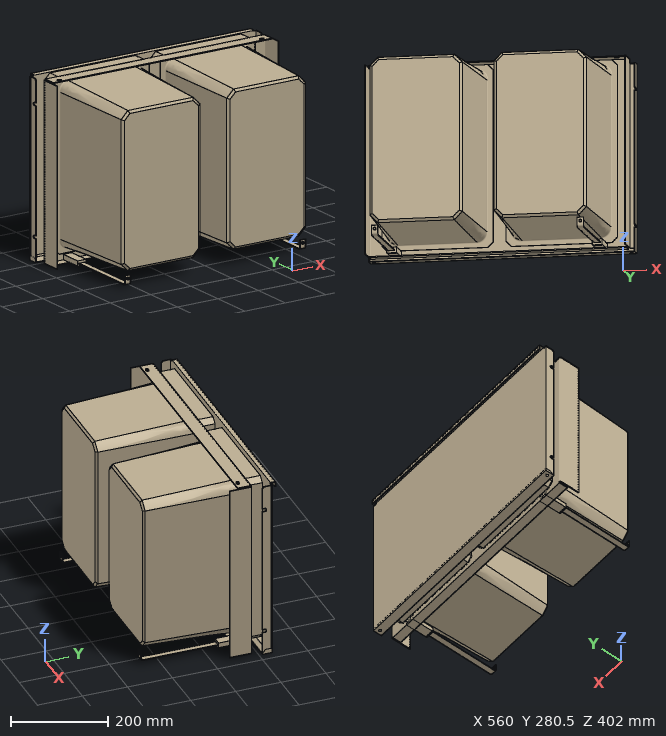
import cadquery as cq
SHEET = 2.0
BEND_RADIUS = 4.0
TIGHT_BEND_RADIUS = 2.0

DOOR_WIDTH = 560.0
DOOR_SIDE_TOP = 397.5
DOOR_TOP = 400.5
DOOR_DEPTH = 22.0
FLANGE_CHAMFER = 3.5
LIP_WIDTH = 543.0
LIP_REACH = 10.5
LIP_DROP = 12.5
RAIL_HEIGHT = 9.5
RAIL_BEVEL = 8.0
RAIL_HOLE_DIAMETER = 5.5
RAIL_HOLE_X = 271.0
RAIL_HOLE_Y = -10.5
NOTCH_WIDTH = 7.0
NOTCH_DEPTH = 9.0
NOTCH_HEIGHTS = (55.0, 342.0)

FRAME_WIDTH = 549.0
FRAME_BOTTOM = 1.0
FRAME_TOP = 402.0
FRAME_BACK = -42.5
FRAME_FACE = FRAME_BACK - SHEET
SIDE_FLANGE_END = -92.5
SIDE_FLANGE_BOTTOM = 4.0
SIDE_FLANGE_TOP = 400.0
TOP_FLANGE_END = -73.5
BOTTOM_FLANGE_END = -65.0
CROSS_FLANGE_WIDTH = FRAME_WIDTH - 2 * BEND_RADIUS
SLOT_LENGTH = 9.5
SLOT_WIDTH = 6.0
SLOT_X = 250.5
SLOT_Y = -65.0

BIN_X = 130.5
BIN_Z = 208.5
RIM_WIDTH = 234.0
RIM_HEIGHT = 383.0
RIM_BACK = -9.5
RIM_CHAMFER = 11.0
BODY_WIDTH = 209.0
BODY_HEIGHT = 360.5
BODY_RADIUS = 21.0
FLOOR_WIDTH = 194.5
FLOOR_HEIGHT = 346.5
FLOOR_CHAMFER = 17.0
BODY_END = -265.5
RIM_FILLET = 3.0
SEAM_ZONE_WIDTH = (RIM_WIDTH + BODY_WIDTH) / 2
SEAM_ZONE_HEIGHT = (RIM_HEIGHT + BODY_HEIGHT) / 2
FLOOR_BEVEL_WIDTH = 5.5
FLOOR_BEVEL_DEPTH = 4.0

RUNNER_X = 216.0
BAR_WIDTH = 13.5
BAR_BOTTOM = 7.0
BAR_END = -270.0
BAR_BEND_RADIUS = 6.0
TAB_TOP = 28.5
TAB_HOLE_DIAMETER = 5.5
TAB_HOLE_Z = 21.0
HOLDER_WIDTH = 21.0
HOLDER_BOTTOM = FRAME_BOTTOM + SHEET
HOLDER_TOP = 15.0
HOLDER_END = -98.0
HOLDER_LIP_WIDTH = 18.0
HOLDER_LIP_BOTTOM = 1.5


def block(x_min, x_max, y_min, y_max, z_min, z_max):
    """A box given by its limits along each axis."""
    size = (x_max - x_min, y_max - y_min, z_max - z_min)
    return cq.Workplane("XY").box(*size, centered=False).translate((x_min, y_min, z_min))


def wide_block(width, y_min, y_max, z_min, z_max):
    """A box centred on X = 0."""
    return block(-width / 2, width / 2, y_min, y_max, z_min, z_max)


def door_side_flange(side):
    """One side flange with a chamfered top corner and two notches in its free edge."""
    outer = side * DOOR_WIDTH / 2
    inner = outer - side * SHEET
    x_min, x_max = min(outer, inner), max(outer, inner)
    flange = block(x_min, x_max, -DOOR_DEPTH, 0, 0, DOOR_SIDE_TOP)
    flange = flange.faces("<Y").edges(">Z").chamfer(FLANGE_CHAMFER)
    for height in NOTCH_HEIGHTS:
        notch = (
            cq.Workplane("YZ", origin=(x_min, -DOOR_DEPTH, height))
            .slot2D(2 * NOTCH_DEPTH, NOTCH_WIDTH)
            .extrude(SHEET)
        )
        flange = flange.cut(notch)
    return flange


def door_lip():
    """The hooked top edge, which runs from the panel towards +Y and then turns down."""
    lip = wide_block(LIP_WIDTH, -SHEET, LIP_REACH, DOOR_TOP - LIP_DROP, DOOR_TOP)
    lip = lip.faces(">Z").edges("|X").fillet(TIGHT_BEND_RADIUS)
    hollow = wide_block(LIP_WIDTH, 0, LIP_REACH - SHEET, DOOR_TOP - LIP_DROP, DOOR_TOP - SHEET)
    return lip.cut(hollow)


def make_door():
    panel = wide_block(DOOR_WIDTH, -SHEET, 0, 0, DOOR_SIDE_TOP)
    rail = wide_block(DOOR_WIDTH - 2 * SHEET, -DOOR_DEPTH, -SHEET, 0, RAIL_HEIGHT)
    rail = rail.faces("<Y").edges(">Z").chamfer(RAIL_BEVEL)
    door = panel.union(door_lip()).union(rail)
    for side in (-1, 1):
        door = door.union(door_side_flange(side))
    rail_holes = (
        cq.Workplane("XY")
        .pushPoints([(side * RAIL_HOLE_X, RAIL_HOLE_Y) for side in (-1, 1)])
        .circle(RAIL_HOLE_DIAMETER / 2)
        .extrude(RAIL_HEIGHT)
    )
    return door.cut(rail_holes)


def rim_block(x, y_min, y_max):
    """The chamfered rectangle of a bin rim, extruded along Y."""
    rim = cq.Workplane("XY").box(RIM_WIDTH, y_max - y_min, RIM_HEIGHT).edges("|Y").chamfer(RIM_CHAMFER)
    return rim.translate((x, (y_min + y_max) / 2, BIN_Z))


def frame_channel():
    """The plate with its two side flanges, bent from one sheet."""
    z_range = (SIDE_FLANGE_BOTTOM, SIDE_FLANGE_TOP)
    outer = wide_block(FRAME_WIDTH, SIDE_FLANGE_END, FRAME_BACK, *z_range)
    outer = outer.faces(">Y").edges("|Z").fillet(BEND_RADIUS)
    inner = wide_block(FRAME_WIDTH - 2 * SHEET, SIDE_FLANGE_END, FRAME_FACE, *z_range)
    inner = inner.faces(">Y").edges("|Z").fillet(BEND_RADIUS - SHEET)
    return outer.cut(inner)


def frame_cross_section():
    """The plate between its top and bottom flanges, bent from one sheet."""
    plate = wide_block(CROSS_FLANGE_WIDTH, FRAME_FACE, FRAME_BACK, FRAME_BOTTOM, FRAME_TOP)
    top_flange = wide_block(CROSS_FLANGE_WIDTH, TOP_FLANGE_END, FRAME_BACK, FRAME_TOP - SHEET, FRAME_TOP)
    bottom_flange = wide_block(
        CROSS_FLANGE_WIDTH, BOTTOM_FLANGE_END, FRAME_BACK, FRAME_BOTTOM, FRAME_BOTTOM + SHEET
    )
    bent_sheet = plate.union(top_flange).union(bottom_flange)
    return bent_sheet.faces(">Y").edges("|X").fillet(TIGHT_BEND_RADIUS)


def make_frame():
    frame = frame_channel().union(frame_cross_section())
    for x in (-BIN_X, BIN_X):
        frame = frame.cut(rim_block(x, FRAME_FACE, FRAME_BACK))
    slots = (
        cq.Workplane("XY", origin=(0, 0, FRAME_TOP - SHEET))
        .pushPoints([(side * SLOT_X, SLOT_Y) for side in (-1, 1)])
        .slot2D(SLOT_LENGTH, SLOT_WIDTH)
        .extrude(SHEET)
    )
    return frame.cut(slots)


def make_bin(x):
    """A bin whose rim sits flush in the frame plate and whose body narrows towards its floor."""
    rim = rim_block(x, FRAME_FACE, RIM_BACK)
    mouth = cq.Sketch().rect(BODY_WIDTH, BODY_HEIGHT).vertices().fillet(BODY_RADIUS)
    floor = cq.Sketch().rect(FLOOR_WIDTH, FLOOR_HEIGHT).vertices().chamfer(FLOOR_CHAMFER)
    floor_place = cq.Location(cq.Vector(0, 0, FRAME_FACE - BODY_END))
    body = (
        cq.Workplane("XZ", origin=(x, FRAME_FACE, BIN_Z))
        .placeSketch(mouth, floor.moved(floor_place))
        .loft(ruled=True)
    )
    body = body.faces("<Y").edges().chamfer(FLOOR_BEVEL_DEPTH, FLOOR_BEVEL_WIDTH)
    seam_zone = cq.selectors.BoxSelector(
        (x - SEAM_ZONE_WIDTH / 2, FRAME_FACE - SHEET, BIN_Z - SEAM_ZONE_HEIGHT / 2),
        (x + SEAM_ZONE_WIDTH / 2, FRAME_FACE + SHEET, BIN_Z + SEAM_ZONE_HEIGHT / 2),
        boundingbox=True,
    )
    return rim.union(body).edges(seam_zone).fillet(RIM_FILLET)


def make_bar(x):
    """A flat bar that starts at the frame plate and bends up into a drilled tab."""
    z_top = BAR_BOTTOM + SHEET
    outer = block(x - BAR_WIDTH / 2, x + BAR_WIDTH / 2, BAR_END, FRAME_FACE, BAR_BOTTOM, TAB_TOP)
    outer = outer.faces("<Y").edges("<Z").fillet(BAR_BEND_RADIUS)
    inner = block(x - BAR_WIDTH / 2, x + BAR_WIDTH / 2, BAR_END + SHEET, FRAME_FACE, z_top, TAB_TOP)
    inner = inner.faces("<Y").edges("<Z").fillet(BAR_BEND_RADIUS - SHEET)
    tab_hole = (
        cq.Workplane("XZ", origin=(x, BAR_END + SHEET, TAB_HOLE_Z))
        .circle(TAB_HOLE_DIAMETER / 2)
        .extrude(SHEET)
    )
    return outer.cut(inner).cut(tab_hole)


def make_holder(x, bar):
    """A holder on the bottom flange of the frame, with a slot that the bar fits and a lip at its end."""
    holder = block(
        x - HOLDER_WIDTH / 2, x + HOLDER_WIDTH / 2, HOLDER_END, FRAME_FACE, HOLDER_BOTTOM, HOLDER_TOP
    )
    lip = block(
        x - HOLDER_LIP_WIDTH / 2,
        x + HOLDER_LIP_WIDTH / 2,
        HOLDER_END,
        HOLDER_END + SHEET,
        HOLDER_LIP_BOTTOM,
        HOLDER_BOTTOM,
    )
    return holder.union(lip).cut(bar)


door = make_door()
frame = make_frame()
bins = []
bars = []
holders = []
for side in (-1, 1):
    bins.append(make_bin(side * BIN_X))
    bar = make_bar(side * RUNNER_X)
    bars.append(bar)
    holders.append(make_holder(side * RUNNER_X, bar))

result = cq.Compound.makeCompound(
    [door.val(), frame.val()] + [body.val() for body in bins + bars + holders]
)